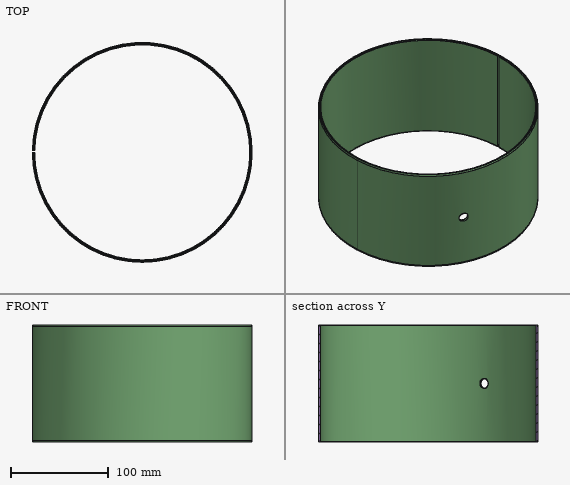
import cadquery as cq

outer_diameter = 225.0
wall = 2.5
height = 120.0

outer_chamfer_depth = 0.7
outer_chamfer_height = 1.8
inner_chamfer = 0.79

slit_width = 2.0
hole_diameter = 10.0
hole_angle = 58.8

outer_radius = outer_diameter / 2
inner_radius = outer_radius - wall
half_height = height / 2


def make_sleeve():
    """Revolve the wall section, whose lower half mirrors the upper half."""
    section = [
        (inner_radius, half_height - inner_chamfer),
        (inner_radius + inner_chamfer, half_height),
        (outer_radius - outer_chamfer_depth, half_height),
        (outer_radius, half_height - outer_chamfer_height),
    ]
    mirrored_section = [(radius, -z) for radius, z in reversed(section)]
    profile = cq.Workplane("XZ").polyline(section + mirrored_section).close()
    return profile.revolve(360, (0, 0, 0), (0, 1, 0))


def make_slit():
    """Full-height cut through the wall on the -X side, with one face on the XZ plane."""
    cutter = cq.Workplane("XY").box(4 * wall, slit_width, 2 * height)
    return cutter.translate((-outer_radius, slit_width / 2, 0))


def make_hole():
    """Radial hole at mid-height through one side of the wall."""
    drill = cq.Workplane("YZ").circle(hole_diameter / 2).extrude(outer_diameter)
    return drill.rotate((0, 0, 0), (0, 0, 1), hole_angle)


result = make_sleeve().cut(make_slit()).cut(make_hole())